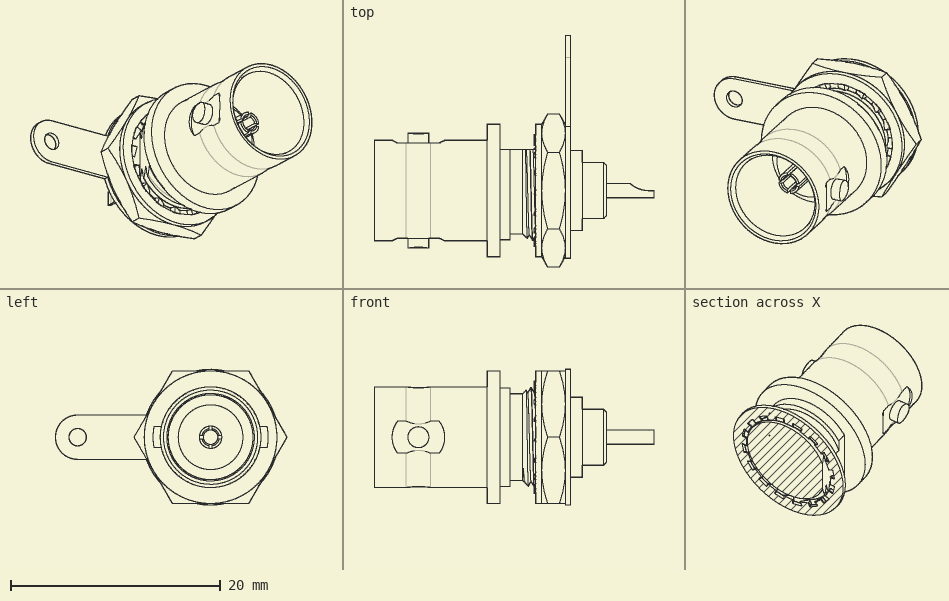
import cadquery as cq
import math

BAYONET_X = 4.2
FLANGE_X = 10.75
SHOULDER_X = 12.0
RELIEF_X = 12.95
THREAD_X = 14.15
WASHER_X = 15.4
NUT_X = 15.97
LUG_X = 18.23
COLLAR_X = 18.74
SLEEVE_X = 19.86
SLEEVE_END_X = 22.17
TOTAL_LENGTH = 26.7

SHELL_R = 4.81
WAIST_WIDTH = 2.33
WAIST_DEPTH = 0.08
BORE_R = 4.18
BORE_FLOOR_R = 4.05
BORE_DEPTH = 8.4
MOUTH_R = 4.5
MOUTH_CHAMFER_LENGTH = 0.45

PIN_R = 1.0
PIN_END_R = 5.49
FLAT_Y = 4.56
FLAT_R = 2.51

FLANGE_R = 6.34
SHOULDER_R = 4.72
RELIEF_R = 4.15
THREAD_R = 4.75
THREAD_PITCH = 0.635
THREAD_CREST = 0.04
THREAD_ANGLE = 60
GROOVE_OVERCUT = 1.05
GROOVE_START_X = 13.68
D_FLAT_Y = 3.93

WASHER_R = 6.34
WASHER_BORE_R = 5.3
TOOTH_COUNT = 16
TOOTH_TIP_R = 4.8
TOOTH_ROOT_R = 5.35
TOOTH_WIDTH = 1.0
TOOTH_THICKNESS = 0.5
TOOTH_TWIST = -25

NUT_SIDES = 6
NUT_ACROSS_FLATS = 12.66
NUT_CHAMFER_ANGLE = 30

LUG_R = 6.49
LUG_REACH = 14.82
TONGUE_R = 2.13
LUG_HOLE_R = 0.82

COLLAR_R = 3.83
SLEEVE_R = 2.69
SLEEVE_CHAMFER = 0.3
TERMINAL_R = 0.69
SCOOP_START_X = 24.4
SCOOP_END_X = 26.2

INSULATOR_R = 3.09
INSULATOR_X = 7.4
CONTACT_TIP_X = 3.5
CONTACT_R = 1.07
SOCKET_R = 0.69
SOCKET_CHAMFER = 0.14
SOCKET_DEPTH = 3.3
SOCKET_POINT_ANGLE = 120
SLOT_WIDTH = 0.3
SLOT_DEPTH = 3.0


def cylinder(x_start, x_end, radius):
    """Solid cylinder on the X axis."""
    return cq.Workplane("YZ", origin=(x_start, 0, 0)).circle(radius).extrude(x_end - x_start)


def shell():
    """Tube with a slightly tapered bore and a shallow concave waist at the bayonet pins."""
    waist_start = BAYONET_X - WAIST_WIDTH / 2
    waist_end = BAYONET_X + WAIST_WIDTH / 2
    profile = (
        cq.Workplane("XY")
        .moveTo(0, MOUTH_R)
        .lineTo(0, SHELL_R)
        .lineTo(waist_start, SHELL_R)
        .threePointArc((BAYONET_X, SHELL_R - WAIST_DEPTH), (waist_end, SHELL_R))
        .lineTo(FLANGE_X, SHELL_R)
        .lineTo(FLANGE_X, 0)
        .lineTo(BORE_DEPTH, 0)
        .lineTo(BORE_DEPTH, BORE_FLOOR_R)
        .lineTo(MOUTH_CHAMFER_LENGTH, BORE_R)
        .close()
    )
    return profile.revolve(360, (0, 0, 0), (1, 0, 0))


def bayonet_flat():
    """Cutter for one +Y spot face around a pin."""
    return (
        cq.Workplane("XZ", origin=(BAYONET_X, FLAT_Y, 0))
        .circle(FLAT_R)
        .extrude(FLAT_Y - PIN_END_R)
    )


def bayonet_pin():
    """One +Y pin, rooted in the shell wall, its end rounded about the connector axis."""
    root_y = (BORE_R + FLAT_Y) / 2
    pin = (
        cq.Workplane("XZ", origin=(BAYONET_X, root_y, 0))
        .circle(PIN_R)
        .extrude(root_y - PIN_END_R)
    )
    return pin.intersect(cylinder(0, FLANGE_X, PIN_END_R))


def thread_groove():
    """Right-handed helical V-groove cutter around the X axis."""
    half_width = (THREAD_PITCH - THREAD_CREST) / 2
    depth = half_width / math.tan(math.radians(THREAD_ANGLE / 2))
    length = NUT_X + THREAD_PITCH - GROOVE_START_X
    root_r = THREAD_R - depth
    helix = cq.Wire.makeHelix(THREAD_PITCH, length, root_r)
    flank_x = GROOVE_OVERCUT * half_width
    flank_r = root_r + GROOVE_OVERCUT * depth
    groove = (
        cq.Workplane("XZ")
        .polyline([(root_r, 0), (flank_r, flank_x), (flank_r, -flank_x)])
        .close()
        .sweep(cq.Workplane(obj=helix), isFrenet=True)
    )
    return groove.rotate((0, 0, 0), (0, 1, 0), 90).translate((GROOVE_START_X, 0, 0))


def threaded_body():
    """Shoulder, relief and thread, all cut by one flat on the +Y side."""
    lead_in = THREAD_R - RELIEF_R
    chamfered = cylinder(THREAD_X, LUG_X, THREAD_R).faces("<X").chamfer(lead_in)
    thread = cylinder(THREAD_X, LUG_X, THREAD_R).cut(thread_groove()).intersect(chamfered)
    body = (
        cylinder(SHOULDER_X, RELIEF_X, SHOULDER_R)
        .union(cylinder(RELIEF_X, THREAD_X, RELIEF_R))
        .union(thread)
    )
    length = LUG_X - SHOULDER_X
    flat_cutter = cq.Workplane("XY").box(
        length, SHOULDER_R, 2 * FLANGE_R, centered=(False, False, True)
    )
    return body.cut(flat_cutter.translate((SHOULDER_X, D_FLAT_Y, 0)))


def lock_washer():
    """Flat ring with twisted teeth pointing inwards."""
    washer = cylinder(WASHER_X, NUT_X, WASHER_R).cut(cylinder(WASHER_X, NUT_X, WASHER_BORE_R))
    tooth = (
        cq.Workplane("XY")
        .box(TOOTH_THICKNESS, TOOTH_ROOT_R - TOOTH_TIP_R, TOOTH_WIDTH)
        .rotate((0, 0, 0), (0, 1, 0), TOOTH_TWIST)
        .translate(((WASHER_X + NUT_X) / 2, (TOOTH_ROOT_R + TOOTH_TIP_R) / 2, 0))
    )
    pitch_angle = 360 / TOOTH_COUNT
    for index in range(TOOTH_COUNT):
        washer = washer.union(tooth.rotate((0, 0, 0), (1, 0, 0), index * pitch_angle))
    return washer


def nut():
    """Hexagon with two corners on the Y axis, its corners turned off on both faces."""
    thickness = LUG_X - NUT_X
    face_r = NUT_ACROSS_FLATS / 2
    corner_r = face_r / math.cos(math.pi / NUT_SIDES)
    hexagon = cq.Workplane("YZ", origin=(NUT_X, 0, 0)).polygon(NUT_SIDES, 2 * corner_r).extrude(thickness)
    chamfer_length = (corner_r - face_r) * math.tan(math.radians(NUT_CHAMFER_ANGLE))
    turned = (
        cylinder(NUT_X, LUG_X, corner_r)
        .faces("<X or >X")
        .chamfer(chamfer_length, corner_r - face_r)
    )
    return hexagon.intersect(turned)


def solder_lug():
    """Washer with a round-ended tongue on the +Y side."""
    thickness = COLLAR_X - LUG_X
    hole_y = LUG_REACH - TONGUE_R
    plane = cq.Workplane("YZ", origin=(LUG_X, 0, 0))
    tongue = plane.center(hole_y / 2, 0).rect(hole_y, 2 * TONGUE_R).extrude(thickness)
    tongue_end = plane.center(hole_y, 0).circle(TONGUE_R).extrude(thickness)
    hole = plane.center(hole_y, 0).circle(LUG_HOLE_R).extrude(thickness)
    return cylinder(LUG_X, COLLAR_X, LUG_R).union(tongue).union(tongue_end).cut(hole)


def terminal():
    """Rear wire, scooped down to half its section by an arc tangent to the axis plane."""
    wire = cylinder(SLEEVE_END_X, TOTAL_LENGTH, TERMINAL_R)
    run = SCOOP_END_X - SCOOP_START_X
    scoop_r = (run**2 + TERMINAL_R**2) / (2 * TERMINAL_R)
    half_turn = math.asin(run / scoop_r) / 2
    arc_middle = (SCOOP_END_X - scoop_r * math.sin(half_turn), scoop_r * (1 - math.cos(half_turn)))
    scoop = (
        cq.Workplane("XY")
        .moveTo(SCOOP_START_X, TERMINAL_R)
        .threePointArc(arc_middle, (SCOOP_END_X, 0))
        .lineTo(TOTAL_LENGTH, 0)
        .lineTo(TOTAL_LENGTH, TERMINAL_R)
        .close()
        .extrude(TERMINAL_R, both=True)
    )
    return wire.cut(scoop)


def contact():
    """Slotted socket standing on the bore floor, with a conical hole bottom."""
    hole_end = CONTACT_TIP_X + SOCKET_DEPTH
    point_length = SOCKET_R / math.tan(math.radians(SOCKET_POINT_ANGLE / 2))
    mouth_r = SOCKET_R + SOCKET_CHAMFER
    pin = (
        cq.Workplane("XY")
        .moveTo(CONTACT_TIP_X, mouth_r)
        .lineTo(CONTACT_TIP_X, CONTACT_R)
        .lineTo(BORE_DEPTH, CONTACT_R)
        .lineTo(BORE_DEPTH, 0)
        .lineTo(hole_end + point_length, 0)
        .lineTo(hole_end, SOCKET_R)
        .lineTo(CONTACT_TIP_X + SOCKET_CHAMFER, SOCKET_R)
        .close()
        .revolve(360, (0, 0, 0), (1, 0, 0))
    )
    slot = cq.Workplane("XY").box(
        SLOT_DEPTH, 2 * CONTACT_R, SLOT_WIDTH, centered=(False, True, True)
    ).translate((CONTACT_TIP_X, 0, 0))
    for angle in (0, 90):
        pin = pin.cut(slot.rotate((0, 0, 0), (1, 0, 0), angle))
    return pin


def jack():
    """Complete connector; the nut closes over the hidden stretch of thread."""
    flat = bayonet_flat()
    pin = bayonet_pin()
    half_turn = ((0, 0, 0), (1, 0, 0), 180)
    front = shell().cut(flat).cut(flat.rotate(*half_turn))
    front = front.union(pin).union(pin.rotate(*half_turn))
    front = front.union(cylinder(INSULATOR_X, BORE_DEPTH, INSULATOR_R)).union(contact())
    sleeve = cylinder(SLEEVE_X, SLEEVE_END_X, SLEEVE_R).faces(">X").chamfer(SLEEVE_CHAMFER)
    return (
        front.union(cylinder(FLANGE_X, SHOULDER_X, FLANGE_R))
        .union(threaded_body())
        .union(nut())
        .union(lock_washer())
        .union(solder_lug())
        .union(cylinder(COLLAR_X, SLEEVE_X, COLLAR_R))
        .union(sleeve)
        .union(terminal())
    )


result = jack()